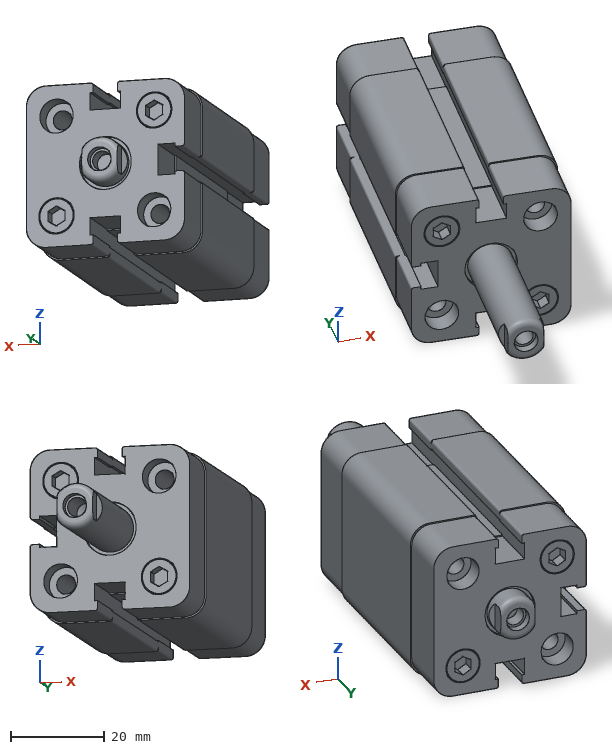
import cadquery as cq
import math


TOTAL_LENGTH = 97.0
CAP_LENGTH = 12.4
FRONT_FACE_Y = 29.4
REAR_FACE_Y = 92.5

BARREL_WIDTH = 36.1
CAP_WIDTH = 35.5
CORNER_RADIUS = 4.5

SLOT_MOUTH_WIDTH = 5.4
SLOT_INNER_WIDTH = 6.8
SLOT_LIP_DEPTH = 2.1
SLOT_DEPTH = 5.9
SLOT_EDGE_RADIUS = 0.6
SLOT_ANGLES = (0, -90, 180)

HOLE_OFFSET = 11.0
THROUGH_HOLE_DIAMETER = 4.2
COUNTERBORE_DIAMETER = 7.5
COUNTERBORE_DEPTH = 4.6
SCREW_POCKET_DIAMETER = 8.0
SCREW_HEAD_DIAMETER = 7.5
HEX_ACROSS_FLATS = 3.8
HEX_DEPTH = 2.9

ROD_DIAMETER = 10.0
ROD_TIP_RADIUS = 1.3
ROD_FLAT_WIDTH = 8.0
ROD_FLAT_LENGTH = 3.3
ROD_RECESS_DIAMETER = 11.6
ROD_RECESS_DEPTH = 1.0
ROD_COUNTERBORE_DIAMETER = 5.2
ROD_COUNTERBORE_DEPTH = 1.9
ROD_BORE_DIAMETER = 4.2
ROD_BORE_DEPTH = 9.7
DRILL_POINT_ANGLE = 120.0

END_FACES = ((FRONT_FACE_Y, 1), (REAR_FACE_Y, -1))
ROD_TIPS = ((0.0, 1), (TOTAL_LENGTH, -1))


def section_plane(y, direction=1):
    """Plane across the cylinder at y, extruding towards +Y (1) or -Y (-1)."""
    return cq.Workplane(cq.Plane(origin=(0, y, 0), xDir=(1, 0, 0), normal=(0, direction, 0)))


def cylinder(diameter, y, length, direction=1, center=(0, 0)):
    """Round bar along Y, centred at the given (x, z)."""
    x, z = center
    return section_plane(y, direction).center(x, -direction * z).circle(diameter / 2).extrude(length)


def slot_cutter(width, y_start, y_end):
    """T-shaped bar with a rounded mouth for the slot in the top (+Z) side."""
    outer_z = width / 2
    lip_z = outer_z - SLOT_LIP_DEPTH
    floor_z = outer_z - SLOT_DEPTH
    mouth = SLOT_MOUTH_WIDTH / 2
    inner = SLOT_INNER_WIDTH / 2
    profile = (
        cq.Workplane("XZ", origin=(0, y_end, 0))
        .moveTo(-inner, floor_z)
        .lineTo(-inner, lip_z)
        .lineTo(-mouth, lip_z)
        .lineTo(-mouth, outer_z - SLOT_EDGE_RADIUS)
        .radiusArc((-mouth - SLOT_EDGE_RADIUS, outer_z), -SLOT_EDGE_RADIUS)
        .lineTo(mouth + SLOT_EDGE_RADIUS, outer_z)
        .radiusArc((mouth, outer_z - SLOT_EDGE_RADIUS), -SLOT_EDGE_RADIUS)
        .lineTo(mouth, lip_z)
        .lineTo(inner, lip_z)
        .lineTo(inner, floor_z)
        .close()
    )
    return profile.extrude(y_end - y_start)


def slotted_block(width, y_start, y_end):
    """Length of square housing with rounded corners and three T-slots."""
    block = section_plane(y_start).rect(width, width).extrude(y_end - y_start)
    block = block.edges("|Y").fillet(CORNER_RADIUS)
    slot = slot_cutter(width, y_start, y_end)
    for angle in SLOT_ANGLES:
        block = block.cut(slot.rotate((0, 0, 0), (0, 1, 0), angle))
    return block


def housing():
    """Barrel between two slightly smaller end caps."""
    barrel_start = FRONT_FACE_Y + CAP_LENGTH
    barrel_end = REAR_FACE_Y - CAP_LENGTH
    barrel = slotted_block(BARREL_WIDTH, barrel_start, barrel_end)
    front_cap = slotted_block(CAP_WIDTH, FRONT_FACE_Y, barrel_start)
    rear_cap = slotted_block(CAP_WIDTH, barrel_end, REAR_FACE_Y)
    return barrel.union(front_cap).union(rear_cap)


def cut_mounting_holes(body):
    """Through holes in two opposite corners, counterbored at both ends."""
    for side in (1, -1):
        center = (side * HOLE_OFFSET, side * HOLE_OFFSET)
        body = body.cut(cylinder(THROUGH_HOLE_DIAMETER, 0, TOTAL_LENGTH, center=center))
        for face_y, inward in END_FACES:
            body = body.cut(cylinder(COUNTERBORE_DIAMETER, face_y, COUNTERBORE_DEPTH, inward, center))
    return body


def screw_head(face_y, inward, center):
    """Hexagon socket screw head, flush with the end face."""
    x, z = center
    across_corners = HEX_ACROSS_FLATS / math.cos(math.pi / 6)
    plane = section_plane(face_y, inward).center(x, -inward * z)
    socket = plane.transformed(rotate=(0, 0, 90)).polygon(6, across_corners).extrude(HEX_DEPTH)
    return cylinder(SCREW_HEAD_DIAMETER, face_y, COUNTERBORE_DEPTH, inward, center).cut(socket)


def add_cap_screws(body):
    """Screws in the other two corners, each head sitting in a pocket."""
    for side in (1, -1):
        center = (side * HOLE_OFFSET, -side * HOLE_OFFSET)
        for face_y, inward in END_FACES:
            body = body.cut(cylinder(SCREW_POCKET_DIAMETER, face_y, COUNTERBORE_DEPTH, inward, center))
            body = body.union(screw_head(face_y, inward, center))
    return body


def flat_cutter(tip_y, inward, side):
    """Wedge that cuts one wrench flat with a 45 degree run-out."""
    flat_x = ROD_FLAT_WIDTH / 2
    margin = ROD_DIAMETER / 2
    flat_end = tip_y + inward * ROD_FLAT_LENGTH
    outline = [
        (side * flat_x, tip_y),
        (side * flat_x, flat_end),
        (side * (flat_x + margin), flat_end + inward * margin),
        (side * (flat_x + margin), tip_y),
    ]
    return cq.Workplane("XY").polyline(outline).close().extrude(ROD_DIAMETER, both=True)


def end_bore(tip_y, inward):
    """Blind bore in the rod end with a counterbored mouth and a drill point."""
    mouth = ROD_COUNTERBORE_DIAMETER / 2
    core = ROD_BORE_DIAMETER / 2
    point_length = core / math.tan(math.radians(DRILL_POINT_ANGLE / 2))
    outline = [
        (0, tip_y),
        (mouth, tip_y),
        (mouth, tip_y + inward * ROD_COUNTERBORE_DEPTH),
        (core, tip_y + inward * ROD_COUNTERBORE_DEPTH),
        (core, tip_y + inward * ROD_BORE_DEPTH),
        (0, tip_y + inward * (ROD_BORE_DEPTH + point_length)),
    ]
    return cq.Workplane("XY").polyline(outline).close().revolve(360, (0, 0, 0), (0, 1, 0))


def piston_rod():
    """Through rod with rounded tips, wrench flats and bored ends."""
    rod = cylinder(ROD_DIAMETER, 0, TOTAL_LENGTH).faces("<Y or >Y").edges().fillet(ROD_TIP_RADIUS)
    for tip_y, inward in ROD_TIPS:
        for side in (1, -1):
            rod = rod.cut(flat_cutter(tip_y, inward, side))
        rod = rod.cut(end_bore(tip_y, inward))
    return rod


def cut_rod_recesses(body):
    for face_y, inward in END_FACES:
        body = body.cut(cylinder(ROD_RECESS_DIAMETER, face_y, ROD_RECESS_DEPTH, inward))
    return body


body = cut_mounting_holes(housing())
body = add_cap_screws(body)
body = cut_rod_recesses(body)
result = body.union(piston_rod())